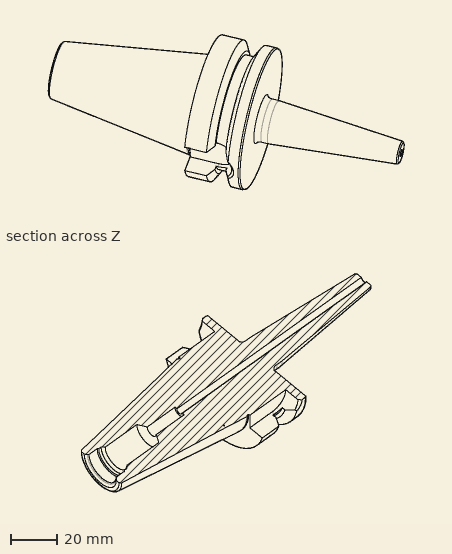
import cadquery as cq
import math

total_length = 155.4

gauge_x = 65.5
gauge_radius = 22.2
taper_slope = 7 / 48
taper_end_chamfer = 0.8
land_length = 0.6
relief_slope_length = 0.5
relief_radius = 21.8

flange_x = 67.1
flange_end_x = 92.3
flange_radius = 31.47
flange_chamfer = 0.8
flange_chamfer_depth = 0.3
groove_start_x = 77.0
groove_end_x = 86.9
groove_wall_width = 2.5
groove_wall_angle = 60.0
groove_radius = 25.5

slot_width = 16.3
slot_floor = 22.5
slot_end_x = 88.3
slot_chamfer = 1.2

neck_radius = 9.6
neck_fillet = 2.8
neck_fillet_rise = 1.2
neck_end_x = 98.0
tip_radius = 5.1
tip_chamfer = 0.6

mouth_radius = 10.1
pilot_radius = 8.5
mouth_depth = 1.0
mouth_edge_radius = 9.0
mouth_edge_length = 0.5
pilot_depth = 6.2
pilot_step_length = 0.5
relief_bore_radius = 8.1
relief_bore_depth = 8.1
thread_radius = 6.8
thread_lead_in = 1.2
thread_depth = 28.0
drill_radius = 2.8
drill_cone_angle = 60.0
drill_depth = 46.6
through_radius = 1.5


def revolve_about_x(outline):
    return outline.close().revolve(360, (0, 0, 0), (1, 0, 0))


def make_body():
    small_radius = gauge_radius - gauge_x * taper_slope
    wall_foot_radius = flange_radius - groove_wall_width * math.tan(math.radians(groove_wall_angle))
    floor_start_x = groove_start_x + groove_wall_width
    floor_end_x = groove_end_x - groove_wall_width
    outline = (
        cq.Workplane("XZ")
        .lineTo(0, small_radius - taper_end_chamfer)
        .lineTo(taper_end_chamfer, small_radius + taper_end_chamfer * taper_slope)
        .lineTo(gauge_x, gauge_radius)
        .lineTo(gauge_x + land_length, gauge_radius)
        .lineTo(gauge_x + land_length + relief_slope_length, relief_radius)
        .lineTo(flange_x, relief_radius)
        .lineTo(flange_x, flange_radius)
        .lineTo(groove_start_x, flange_radius)
        .lineTo(floor_start_x, wall_foot_radius)
        .lineTo(floor_start_x, groove_radius)
        .lineTo(floor_end_x, groove_radius)
        .lineTo(floor_end_x, wall_foot_radius)
        .lineTo(groove_end_x, flange_radius)
        .lineTo(flange_end_x - flange_chamfer, flange_radius)
        .lineTo(flange_end_x, flange_radius - flange_chamfer_depth)
        .lineTo(flange_end_x, neck_radius + neck_fillet_rise)
        .radiusArc((flange_end_x + neck_fillet, neck_radius), -neck_fillet)
        .lineTo(neck_end_x, neck_radius)
        .lineTo(total_length - tip_chamfer, tip_radius)
        .lineTo(total_length, tip_radius - tip_chamfer)
        .lineTo(total_length, 0)
    )
    return revolve_about_x(outline)


def make_bore():
    cone_length = (thread_radius - drill_radius) / math.tan(math.radians(drill_cone_angle))
    outline = (
        cq.Workplane("XZ")
        .lineTo(0, mouth_radius)
        .lineTo(mouth_depth, mouth_edge_radius)
        .lineTo(mouth_depth + mouth_edge_length, pilot_radius)
        .lineTo(pilot_depth, pilot_radius)
        .lineTo(pilot_depth + pilot_step_length, relief_bore_radius)
        .lineTo(relief_bore_depth, relief_bore_radius)
        .lineTo(relief_bore_depth + thread_lead_in, thread_radius)
        .lineTo(thread_depth, thread_radius)
        .lineTo(thread_depth + cone_length, drill_radius)
        .lineTo(drill_depth, drill_radius)
        .lineTo(drill_depth, through_radius)
        .lineTo(total_length, through_radius)
        .lineTo(total_length, 0)
    )
    return revolve_about_x(outline)


def make_slot(side):
    """Round-ended slot, chamfered at the rim of its round end; side is +1 or -1 along Y."""
    slot_radius = slot_width / 2
    center_x = slot_end_x - slot_radius
    floor_plane = cq.Workplane(cq.Plane((0, side * slot_floor, 0), (1, 0, 0), (0, side, 0)))
    depth = flange_radius - slot_floor
    straight_length = center_x - flange_x
    straight = (
        floor_plane.center(center_x - straight_length / 2, 0)
        .rect(straight_length, slot_width)
        .extrude(depth)
    )
    round_end = floor_plane.center(center_x, 0).circle(slot_radius).extrude(depth)
    rim = cq.Solid.makeCone(
        slot_radius,
        slot_radius + slot_chamfer,
        slot_chamfer,
        cq.Vector(center_x, side * (flange_radius - slot_chamfer), 0),
        cq.Vector(0, side, 0),
    )
    end_half = (
        cq.Workplane("XY")
        .box(total_length, total_length, total_length, centered=(False, True, True))
        .translate((center_x, 0, 0))
    )
    rim_end = cq.Workplane(rim).intersect(end_half)
    return straight.union(round_end).union(rim_end)


result = make_body().cut(make_bore())
for side in (-1, 1):
    result = result.cut(make_slot(side))